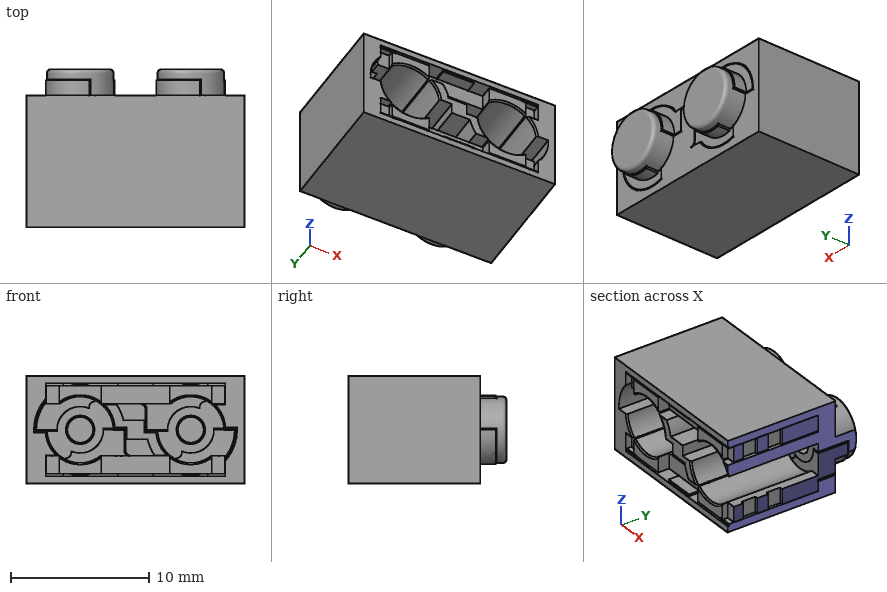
import cadquery as cq

length, height, depth = 15.8, 7.8, 9.55
end_wall = 1.55
floor_y = depth - end_wall
stud_pitch = 8.0
stud_xs = (-stud_pitch / 2, stud_pitch / 2)

stud_height = 1.9
stud_radius = 2.42
stud_fillet = 0.3
core_radius = 1.68
core_recess_mouth = 1.04
core_recess_bottom = 0.93
core_recess_depth = 2.0

socket_radius = 2.4
socket_lead_in = 0.12

relief_radius = 3.35
relief_floor = -0.2
rib_radius = 3.2
rib_step_z = 0.68
rib_side_x = 0.62
rib_overlap_x = -1.4

slot_half_length = 6.5
slot_inner_z, slot_outer_z = 1.83, 3.35
pad_start_y = 0.1
pad_half_width = 1.27

bar_half_length = 6.46
bar_inner_z, bar_outer_z = 1.88, 3.19
block_half_width = 1.52
block_front_y, tab_front_y, bar_front_y = 0.04, 0.52, 1.0
notch_depth, notch_width = 0.42, 1.2
notch_starts = (1.4, 3.6)
slit_x, slit_start_y = 1.08, 3.4
slit_width, slit_length = 0.1, 1.2

finger_radius = 3.19
finger_end_x = 0.65
flare_radius = 0.4
flare_end_z = 2.05
flare_end_x = finger_end_x + flare_radius
flare_start_z = flare_end_z - flare_radius
ring_radius = 2.5
ring_length = 1.1
ring_gap = 0.07
finger_gap = 0.1
side_gap = 0.08


def box(x0, x1, y0, y1, z0, z1):
    return cq.Workplane("XY").box(x1 - x0, y1 - y0, z1 - z0, centered=False).translate((x0, y0, z0))


def cylinder(x, radius, y0, y1):
    return cq.Workplane("XZ", origin=(x, y0, 0)).circle(radius).extrude(y0 - y1)


def cone(x, radius0, radius1, y0, y1):
    solid = cq.Solid.makeCone(radius0, radius1, y1 - y0, cq.Vector(x, y0, 0), cq.Vector(0, 1, 0))
    return cq.Workplane(obj=solid)


def half_turn(shape):
    """Copy of a shape turned 180 degrees about the Y axis."""
    return shape.rotate((0, 0, 0), (0, 1, 0), 180)


def socket(x, front_y):
    """Round bore with a conical lead-in that starts at front_y."""
    bore = cylinder(x, socket_radius, 0, floor_y)
    mouth = socket_radius + socket_lead_in
    return bore.union(cone(x, mouth, socket_radius, front_y, front_y + socket_lead_in))


def finger_outline(x, y0, y1, gap):
    """Region left of the finger end, whose edge rounds out towards the bar."""
    return (
        cq.Workplane("XZ", origin=(x, y0, 0))
        .moveTo(-slot_half_length, -gap)
        .lineTo(finger_end_x, -gap)
        .lineTo(finger_end_x, flare_start_z)
        .radiusArc((flare_end_x, flare_end_z), flare_radius)
        .lineTo(flare_end_x, relief_radius)
        .lineTo(-slot_half_length, relief_radius)
        .close()
        .extrude(y0 - y1)
    )


def square_corner(x, reach, y0, y1, z0):
    """Straight finger side facing the middle of the brick, rounded out into the bar."""
    return (
        cq.Workplane("XZ", origin=(x, y0, 0))
        .moveTo(-core_radius, z0)
        .lineTo(-reach, z0)
        .lineTo(-reach, bar_inner_z - flare_radius)
        .radiusArc((-reach - flare_radius, bar_inner_z), -flare_radius)
        .lineTo(-core_radius, bar_inner_z)
        .close()
        .extrude(y0 - y1)
    )


def finger(x, y0, y1, radius, gap):
    """Quarter sector outside the stud core, with a straight side next to the brick middle."""
    shape = cylinder(x, radius, y0, y1)
    if x > 0:
        shape = shape.union(square_corner(x, radius, y0, y1, -gap))
    return shape.intersect(finger_outline(x, y0, y1, gap)).cut(cylinder(x, core_radius, y0, y1))


def ring_sector(x, radius, end_y, gap):
    """Quarter ring around the stud core, standing on the end wall."""
    sector = box(x - radius, x + finger_end_x + gap, depth, end_y, -gap, radius)
    ring = cylinder(x, radius, depth, end_y).cut(cylinder(x, core_radius, depth, end_y))
    return ring.intersect(sector)


def contact_cavity():
    """Room for the upper contact."""
    slot = box(-slot_half_length, slot_half_length, 0, floor_y, slot_inner_z, slot_outer_z)
    end_pad_x = slot_half_length - pad_half_width / 2
    for x, half in ((-end_pad_x, pad_half_width / 2), (0, pad_half_width), (end_pad_x, pad_half_width / 2)):
        slot = slot.cut(box(x - half, x + half, pad_start_y, floor_y, bar_outer_z, slot_outer_z))

    left_x, right_x = stud_xs
    quarter = box(left_x - relief_radius, left_x, 0, floor_y, relief_floor, relief_radius)
    outer_relief = cylinder(left_x, relief_radius, 0, floor_y).intersect(quarter)
    inner_relief = box(rib_side_x, right_x, 0, floor_y, relief_floor, slot_inner_z)
    over_rib = box(rib_overlap_x, rib_side_x, 0, floor_y, rib_step_z, slot_inner_z)
    over_rib = over_rib.cut(cylinder(left_x, rib_radius, 0, floor_y))
    cavity = slot.union(outer_relief).union(inner_relief).union(over_rib)

    for x in stud_xs:
        cavity = cavity.union(finger(x, floor_y, depth, finger_radius + side_gap, finger_gap))
        cavity = cavity.union(ring_sector(x, ring_radius, depth + ring_length + ring_gap, finger_gap))
    return cavity


def make_housing():
    body = box(-length / 2, length / 2, 0, depth, -height / 2, height / 2)
    for x in stud_xs:
        stud = cylinder(x, stud_radius, depth, depth + stud_height)
        body = body.union(stud.faces(">Y").edges().fillet(stud_fillet))
    cavity = contact_cavity()
    body = body.cut(cavity).cut(half_turn(cavity))
    for x in stud_xs:
        recess_end = floor_y + core_recess_depth
        recess = cone(x, core_recess_mouth, core_recess_bottom, floor_y, recess_end)
        body = body.cut(socket(x, 0)).cut(recess)
    return body


def make_contact():
    """Upper contact: bar with a block over each socket, end tabs, fingers and ring sectors."""
    block_offset = stud_xs[1] + block_half_width
    bar = box(-block_offset, block_offset, bar_front_y, floor_y, bar_inner_z, bar_outer_z)
    for side in (-1, 1):
        tab_x0, tab_x1 = sorted((side * block_offset, side * bar_half_length))
        bar = bar.union(box(tab_x0, tab_x1, tab_front_y, floor_y, bar_inner_z, bar_outer_z))
        notch_x0, notch_x1 = sorted((side * (bar_half_length - notch_depth), side * bar_half_length))
        for y in notch_starts:
            bar = bar.cut(box(notch_x0, notch_x1, y, y + notch_width, bar_inner_z, bar_outer_z))
    slit_end_y = slit_start_y + slit_length
    bar = bar.cut(box(slit_x - slit_width, slit_x, slit_start_y, slit_end_y, bar_inner_z, bar_outer_z))
    for x in stud_xs:
        x0, x1 = x - block_half_width, x + block_half_width
        bar = bar.union(box(x0, x1, block_front_y, floor_y, bar_inner_z, bar_outer_z))
    for x in stud_xs:
        bar = bar.cut(socket(x, block_front_y))
        bar = bar.union(finger(x, floor_y, depth, finger_radius, 0))
        bar = bar.union(ring_sector(x, ring_radius, depth + ring_length, 0))
    return bar


housing = make_housing()
upper_contact = make_contact()
lower_contact = half_turn(upper_contact)

result = cq.Compound.makeCompound([
    housing.solids().val(),
    upper_contact.solids().val(),
    lower_contact.solids().val(),
])